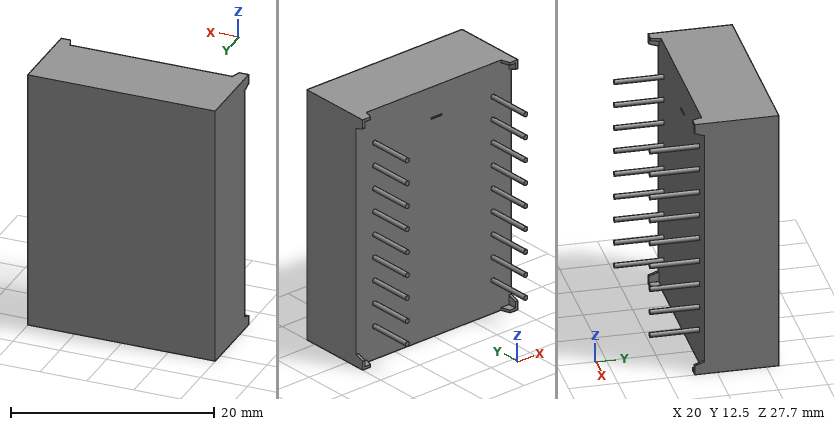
import cadquery as cq

body_width = 20.0
body_depth = 7.5
body_height = 27.71

foot_height = 1.0
foot_wall = 0.3
foot_tip_length = 1.0
foot_base_length = 1.35

pin_diameter = 0.5
pin_length = 5.0
pin_pitch = 2.54
pins_per_row = 9
row_spacing = 15.24

groove_length = 1.35
groove_width = 0.12
groove_depth = 0.1
groove_x = 0.4
groove_z = 10.35

left = -body_width / 2
bottom = -body_height / 2


def make_body():
    return cq.Workplane("XZ").rect(body_width, body_height).extrude(-body_depth)


def make_corner_foot():
    """L-shaped foot in the left bottom corner, with sloping ends on both legs."""
    leg_along_x = (
        cq.Workplane("XY", origin=(left, 0, bottom))
        .polyline([(0, 0), (foot_base_length, 0), (foot_tip_length, -foot_height), (0, -foot_height)])
        .close()
        .extrude(foot_wall)
    )
    leg_along_z = (
        cq.Workplane("YZ", origin=(left, 0, bottom))
        .polyline([(0, 0), (0, foot_base_length), (-foot_height, foot_tip_length), (-foot_height, 0)])
        .close()
        .extrude(foot_wall)
    )
    return leg_along_x.union(leg_along_z)


def make_feet():
    left_foot = make_corner_foot()
    bottom_feet = left_foot.union(left_foot.mirror("YZ"))
    return bottom_feet.union(bottom_feet.mirror("XY"))


def make_pins():
    return (
        cq.Workplane("XZ")
        .rarray(row_spacing, pin_pitch, 2, pins_per_row)
        .circle(pin_diameter / 2)
        .extrude(pin_length)
    )


def make_groove_cutter():
    return (
        cq.Workplane("XZ")
        .center(groove_x, groove_z)
        .rect(groove_length, groove_width)
        .extrude(-groove_depth)
    )


result = make_body().union(make_feet()).union(make_pins()).cut(make_groove_cutter())